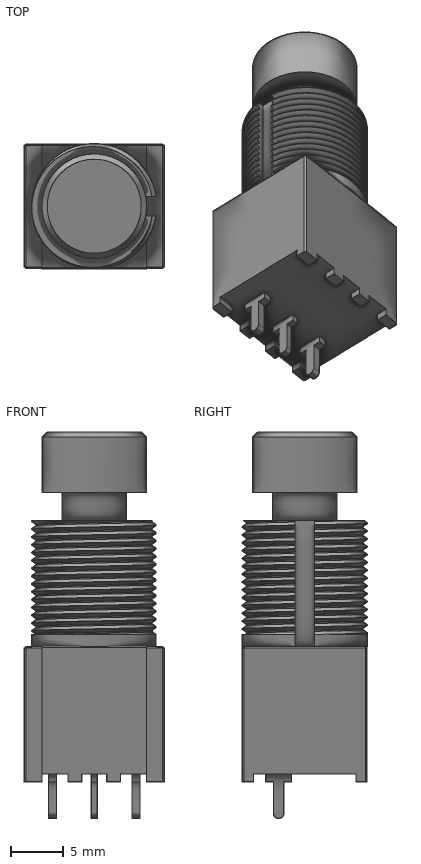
import cadquery as cq


HOUSING_HALF_X = 6.7
HOUSING_BACK_Y = 5.95
HOUSING_FRONT_Y = -5.95
CASE_TOP = 12.95
COVER_TOP = 13.0
HOUSING_CHAMFER = 0.15
COVER_WIDTH = 10.0
COVER_FRONT_Y = -6.0
COVER_EDGE_CHAMFER = 0.15

STANDOFF = 0.75
FOOT_LENGTH_Y = 1.05
TAB_WIDTH = 1.35
TAB_CENTER_X = 1.85

PIN_SPECS = [(-4.0, 0.8), (0.0, 0.6), (4.0, 0.8)]
PIN_Y = -2.5
PIN_WIDTH = 1.0
PIN_LENGTH = 3.5
SHOULDER_WIDTH = 2.5

BUSHING_RADIUS = 6.0
COLLAR_HEIGHT = 1.1
THREAD_LENGTH = 10.9
THREAD_PITCH = 0.75
THREAD_DEPTH = 0.4
THREAD_CREST = 0.05
THREAD_ROOT = 0.12
THREAD_START_ANGLE = 192.0
KEYWAY_WIDTH = 1.9
KEYWAY_FLOOR_X = 5.0

STEM_DIAMETER = 6.2
STEM_LENGTH = 2.7
BUTTON_DIAMETER = 10.0
BUTTON_HEIGHT = 5.8
BUTTON_CHAMFER = 0.5

THREAD_BASE = COVER_TOP + COLLAR_HEIGHT
BUSHING_TOP = THREAD_BASE + THREAD_LENGTH
BUTTON_BASE = BUSHING_TOP + STEM_LENGTH


def block(x_range, y_range, z_range):
    """Axis-aligned box from its limits along X, Y and Z."""
    size = [high - low for low, high in (x_range, y_range, z_range)]
    corner = (x_range[0], y_range[0], z_range[0])
    return cq.Workplane("XY").box(*size, centered=False).translate(corner)


def cylinder(diameter, base, height):
    """Cylinder on the button axis."""
    return cq.Workplane("XY").workplane(offset=base).circle(diameter / 2).extrude(height)


def make_housing():
    """Chamfered case with a slightly proud cover, cut away below to leave feet and tabs."""
    depth_y = (HOUSING_FRONT_Y, HOUSING_BACK_Y)
    half_cover = COVER_WIDTH / 2
    case = block((-HOUSING_HALF_X, HOUSING_HALF_X), depth_y, (0, CASE_TOP))
    case = case.edges("|Z").chamfer(HOUSING_CHAMFER).faces(">Z").chamfer(HOUSING_CHAMFER)
    cover = block((-half_cover, half_cover), (COVER_FRONT_Y, HOUSING_BACK_Y), (0, COVER_TOP))
    cover = cover.faces(">Z").edges("|X").chamfer(COVER_EDGE_CHAMFER)
    housing = case.union(cover)

    gap_y = (HOUSING_FRONT_Y + FOOT_LENGTH_Y, HOUSING_BACK_Y - FOOT_LENGTH_Y)
    housing = housing.cut(block((-HOUSING_HALF_X, HOUSING_HALF_X), gap_y, (0, STANDOFF)))

    tab_inner = TAB_CENTER_X - TAB_WIDTH / 2
    tab_outer = TAB_CENTER_X + TAB_WIDTH / 2
    gaps_x = [(-half_cover, -tab_outer), (-tab_inner, tab_inner), (tab_outer, half_cover)]
    for gap_x in gaps_x:
        housing = housing.cut(block(gap_x, (COVER_FRONT_Y, HOUSING_BACK_Y), (0, STANDOFF)))
    return housing


def make_pin(x, thickness):
    """Flat terminal with a wide shoulder and a rounded tip."""
    half_pin = PIN_WIDTH / 2
    half_shoulder = SHOULDER_WIDTH / 2
    tip_start = half_pin - PIN_LENGTH
    return (
        cq.Workplane("YZ", origin=(x, PIN_Y, 0))
        .moveTo(-half_shoulder, STANDOFF)
        .lineTo(-half_shoulder, 0)
        .lineTo(-half_pin, 0)
        .lineTo(-half_pin, tip_start)
        .threePointArc((0, -PIN_LENGTH), (half_pin, tip_start))
        .lineTo(half_pin, 0)
        .lineTo(half_shoulder, 0)
        .lineTo(half_shoulder, STANDOFF)
        .close()
        .extrude(thickness / 2, both=True)
    )


def make_thread_groove():
    """Helical groove with a narrow flat root, running one turn past both ends of the thread."""
    root_radius = BUSHING_RADIUS - THREAD_DEPTH
    half_opening = (THREAD_PITCH - THREAD_CREST) / 2
    overshoot = 0.01
    outer_radius = BUSHING_RADIUS + overshoot
    half_root = THREAD_ROOT / 2
    flank_slope = (half_opening - half_root) / THREAD_DEPTH
    half_outer = half_opening + flank_slope * overshoot
    start = THREAD_BASE - THREAD_PITCH
    helix = cq.Wire.makeHelix(THREAD_PITCH, THREAD_LENGTH + 2 * THREAD_PITCH, BUSHING_RADIUS)
    return (
        cq.Workplane("XZ")
        .moveTo(root_radius, -half_root)
        .lineTo(root_radius, half_root)
        .lineTo(outer_radius, half_outer)
        .lineTo(outer_radius, -half_outer)
        .close()
        .sweep(cq.Workplane(helix), isFrenet=True)
        .translate((0, 0, start))
        .rotate((0, 0, 0), (0, 0, 1), THREAD_START_ANGLE)
    )


def make_bushing():
    """Threaded bushing above a plain collar, with a keyway along the +X side."""
    blank_margin = 3 * THREAD_PITCH
    blank_length = THREAD_LENGTH + 2 * blank_margin
    blank = cylinder(2 * BUSHING_RADIUS, THREAD_BASE - blank_margin, blank_length)
    trim_range = (-HOUSING_HALF_X, HOUSING_HALF_X)
    trim_box = block(trim_range, trim_range, (THREAD_BASE, BUSHING_TOP))
    threaded = blank.cut(make_thread_groove()).intersect(trim_box)
    collar = cylinder(2 * BUSHING_RADIUS, CASE_TOP, THREAD_BASE - CASE_TOP)
    keyway = block(
        (KEYWAY_FLOOR_X, HOUSING_HALF_X),
        (-KEYWAY_WIDTH / 2, KEYWAY_WIDTH / 2),
        (CASE_TOP, BUSHING_TOP),
    )
    return collar.union(threaded).cut(keyway)


def make_button():
    """Plunger stem carrying the round button."""
    stem = cylinder(STEM_DIAMETER, BUSHING_TOP, STEM_LENGTH)
    button = cylinder(BUTTON_DIAMETER, BUTTON_BASE, BUTTON_HEIGHT)
    return stem.union(button.faces(">Z").chamfer(BUTTON_CHAMFER))


result = make_housing().union(make_bushing()).union(make_button())
for pin_x, pin_thickness in PIN_SPECS:
    result = result.union(make_pin(pin_x, pin_thickness))